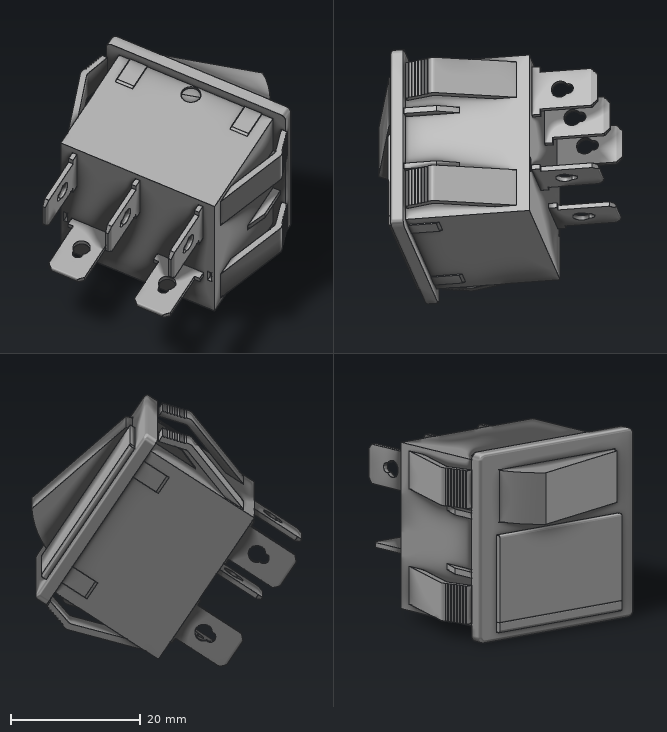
import cadquery as cq
import math


bezel_width = 31.35
bezel_height = 30.0
bezel_thickness = 2.08
bezel_corner_radius = 1.02
bezel_front_radius = 0.5
block_width = 26.9
block_height = 26.35
block_depth = 19.45

clip_elbow_x = 17.55
clip_elbow_y = -5.0
clip_elbow_radius = 1.2
clip_tip_x = 16.27
clip_tip_y = -0.53
clip_thickness_x = 1.1
clip_root_y = -17.45
clip_inner_root_y = -14.05
clip_width = 6.0
clip_center_z = 9.15
tooth_count = 7
tooth_pitch = 0.53
tooth_depth = 0.2
tooth_valley_share = 0.65

rib_reach = 14.73
rib_thickness = 0.95
rib_center_z = 4.7
rib_straight_length = 5.1
rib_length = 8.5

pad_width = 3.02
pad_center_x = 10.0
pad_height = 0.2
pad_length = 4.9
pad_ramp_length = 0.45

slot_width = 0.68
slot_height = 2.15
slot_depth = 0.95
slot_center_x = 12.57
slot_center_z = -5.0

pivot_y = -1.7
rocker_tilt = 15.0
rocker_radius = 12.27
rocker_face_height = 7.48
rocker_width = 8.15
rocker_center_z = 7.93
rocker_gap = 0.1
pin_diameter = 3.0
pin_hole_diameter = 3.05
pin_hole_length = 2 * (block_height / 2 - rocker_center_z)
pin_recess = 0.35
pin_ramp_drop = 0.53

lens_width = 24.85
lens_front_y = 2.95
lens_top_z = 1.9
lens_bottom_z = -11.9
lens_top_radius = 0.38
lens_bottom_radius = 0.15
ledge_bottom_z = -13.5
ledge_top_radius = 0.15
ledge_bottom_radius = 0.38

terminal_tip_y = -29.7
terminal_thickness = 0.8
blade_width = 6.25
shoulder_width = 8.08
shoulder_length = 1.3
blade_corner = 0.9
upright_tip_bevel = 0.17
keyhole_y = -23.85
keyhole_diameter = 2.65
keyhole_notch_y = -25.15
keyhole_notch_diameter = 1.6
upright_terminal_spacing = 11.0
flat_terminal_x = 7.48
flat_terminal_z = -5.02


def box(x_range, y_range, z_range):
    """Block between the given limits on each axis."""
    corner = cq.Vector(x_range[0], y_range[0], z_range[0])
    return cq.Workplane(obj=cq.Solid.makeBox(
        x_range[1] - x_range[0],
        y_range[1] - y_range[0],
        z_range[1] - z_range[0],
        corner,
    ))


def slab(outline, z_center, thickness):
    """Prism of an XY outline, centred on z_center."""
    plane = cq.Workplane("XY", origin=(0, 0, z_center))
    return plane.polyline(outline).close().extrude(thickness / 2, both=True)


def disc(diameter, z_center, thickness):
    """Cylinder along Z on the rocker pivot."""
    plane = cq.Workplane("XY", origin=(0, pivot_y, z_center))
    return plane.circle(diameter / 2).extrude(thickness / 2, both=True)


def mirrored_in_x(shape):
    return shape.union(shape.mirror("YZ"))


def bezel():
    plate = box(
        (-bezel_width / 2, bezel_width / 2),
        (0, bezel_thickness),
        (-bezel_height / 2, bezel_height / 2),
    )
    return plate.edges("|Y").fillet(bezel_corner_radius).faces(">Y").edges().fillet(bezel_front_radius)


def clip(z_center):
    """Bent spring arm on the +X side with a row of grip teeth near its free end."""
    flank_slope = (clip_elbow_x - clip_tip_x) / (clip_tip_y - clip_elbow_y)

    def flank_point(distance, depth=0.0):
        """Point a distance rearward of the free end, sunk below the flank by depth."""
        return (clip_tip_x + distance * flank_slope - depth, clip_tip_y - distance)

    teeth = []
    for tooth in range(tooth_count):
        teeth.append(flank_point(tooth * tooth_pitch))
        teeth.append(flank_point((tooth + tooth_valley_share) * tooth_pitch, tooth_depth))
    teeth.append(flank_point(tooth_count * tooth_pitch))

    inner_elbow_x = clip_elbow_x - clip_thickness_x
    outline = [
        (block_width / 2, clip_inner_root_y),
        (inner_elbow_x, clip_elbow_y),
        (clip_tip_x - clip_thickness_x, clip_tip_y),
        *teeth,
        (clip_elbow_x, clip_elbow_y),
        (block_width / 2, clip_root_y),
    ]
    arm = slab(outline, z_center, clip_width)
    for elbow_x in (inner_elbow_x, clip_elbow_x):
        elbow = cq.selectors.NearestToPointSelector((elbow_x, clip_elbow_y, z_center))
        arm = arm.edges(elbow).fillet(clip_elbow_radius)
    return arm


def rib(z_center):
    """Panel stop rib on the +X side, tapering to the block at its rear end."""
    outline = [
        (block_width / 2, 0),
        (rib_reach, 0),
        (rib_reach, -rib_straight_length),
        (block_width / 2, -rib_length),
    ]
    return slab(outline, z_center, rib_thickness)


def pad(x_center):
    """Raised pad on the block's top face with a ramp at its rear end."""
    base_z = block_height / 2
    outline = [
        (0, base_z),
        (0, base_z + pad_height),
        (pad_ramp_length - pad_length, base_z + pad_height),
        (-pad_length, base_z),
    ]
    plane = cq.Workplane("YZ", origin=(x_center, 0, 0))
    return plane.polyline(outline).close().extrude(pad_width / 2, both=True)


def ledge():
    """Raised strip on the bezel below the lens."""
    strip = box(
        (-lens_width / 2, lens_width / 2),
        (bezel_thickness, lens_front_y),
        (ledge_bottom_z, lens_bottom_z),
    )
    strip = strip.edges(">Y and <Z").fillet(ledge_bottom_radius)
    return strip.edges(">Y and >Z").fillet(ledge_top_radius)


def rocker_pocket():
    """Round-bottomed opening for the rocker, plus the holes for its pivot pin."""
    pocket_height = rocker_width + 2 * rocker_gap
    opening = disc(2 * (rocker_radius + rocker_gap), rocker_center_z, pocket_height)
    pin_hole = disc(pin_hole_diameter, rocker_center_z, pin_hole_length)
    return opening.union(pin_hole)


def make_housing():
    body = box(
        (-block_width / 2, block_width / 2),
        (-block_depth, 0),
        (-block_height / 2, block_height / 2),
    )
    body = body.union(bezel()).union(ledge())

    for side in (-1, 1):
        body = body.union(mirrored_in_x(clip(side * clip_center_z)))
        body = body.union(mirrored_in_x(rib(side * rib_center_z)))
        top_pad = pad(side * pad_center_x)
        body = body.union(top_pad).union(top_pad.mirror("XY"))

    for side in (-1, 1):
        slot_x = side * slot_center_x
        body = body.cut(box(
            (slot_x - slot_width / 2, slot_x + slot_width / 2),
            (-block_depth, slot_depth - block_depth),
            (slot_center_z - slot_height / 2, slot_center_z + slot_height / 2),
        ))
    return body.cut(rocker_pocket())


def pivot_pin():
    """Pin through the rocker; the rear half of each end slopes away from the end face."""
    pin_length = pin_hole_length - 2 * pin_recess
    pin = disc(pin_diameter, rocker_center_z, pin_length)
    radius = pin_diameter / 2
    wedge_outline = [(0, pin_length / 2), (radius, pin_length / 2), (radius, pin_length / 2 - pin_ramp_drop)]
    plane = cq.Plane(origin=(0, pivot_y, rocker_center_z), xDir=(0, -1, 0), normal=(-1, 0, 0))
    wedge = cq.Workplane(plane).polyline(wedge_outline).close().extrude(radius, both=True)
    return pin.cut(wedge).cut(wedge.mirror("XY", (0, 0, rocker_center_z)))


def make_rocker():
    half_face = math.sqrt(rocker_radius**2 - rocker_face_height**2)
    plane = cq.Workplane("XY", origin=(0, pivot_y, rocker_center_z))
    mid_angle = math.asin(rocker_face_height / rocker_radius) / 2
    arc_mid = (rocker_radius * math.cos(mid_angle), rocker_radius * math.sin(mid_angle))
    segment = (
        plane.moveTo(-rocker_radius, 0)
        .lineTo(rocker_radius, 0)
        .threePointArc(arc_mid, (half_face, rocker_face_height))
        .lineTo(-half_face, rocker_face_height)
        .threePointArc((-arc_mid[0], arc_mid[1]), (-rocker_radius, 0))
        .close()
        .extrude(rocker_width / 2, both=True)
    )
    return segment.union(pivot_pin()).rotate((0, pivot_y, 0), (0, pivot_y, 1), rocker_tilt)


def make_lens():
    lens = box(
        (-lens_width / 2, lens_width / 2),
        (bezel_thickness, lens_front_y),
        (lens_bottom_z, lens_top_z),
    )
    lens = lens.edges(">Y and >Z").fillet(lens_top_radius)
    return lens.edges(">Y and <Z").fillet(lens_bottom_radius)


def make_terminal():
    """Blade lying in the XY plane, centred on the Y axis, with its shoulders against the block."""
    right_side = [
        (shoulder_width / 2, -block_depth),
        (shoulder_width / 2, -block_depth - shoulder_length),
        (blade_width / 2, -block_depth - shoulder_length),
        (blade_width / 2, terminal_tip_y + blade_corner),
        (blade_width / 2 - blade_corner, terminal_tip_y),
    ]
    left_side = [(-x, y) for x, y in reversed(right_side)]
    blade = slab(right_side + left_side, 0, terminal_thickness)
    for hole_y, diameter in ((keyhole_y, keyhole_diameter), (keyhole_notch_y, keyhole_notch_diameter)):
        hole = cq.Workplane("XY").center(0, hole_y).circle(diameter / 2)
        blade = blade.cut(hole.extrude(terminal_thickness, both=True))
    return blade


def make_flat_terminal():
    """Terminal with its tip fully rounded across the thickness."""
    tip_radius = terminal_thickness / 2
    rounded_profile = (
        cq.Workplane("YZ")
        .moveTo(-block_depth, tip_radius)
        .lineTo(terminal_tip_y + tip_radius, tip_radius)
        .threePointArc((terminal_tip_y, 0), (terminal_tip_y + tip_radius, -tip_radius))
        .lineTo(-block_depth, -tip_radius)
        .close()
        .extrude(shoulder_width / 2, both=True)
    )
    return make_terminal().intersect(rounded_profile)


def make_upright_terminal():
    """Terminal turned on edge, with its tip bevelled on both wide faces."""
    face_z = terminal_thickness / 2
    bevel_outline = [
        (terminal_tip_y, face_z),
        (terminal_tip_y + blade_corner, face_z),
        (terminal_tip_y, face_z - upright_tip_bevel),
    ]
    bevel = cq.Workplane("YZ").polyline(bevel_outline).close().extrude(blade_width / 2, both=True)
    blade = make_terminal().cut(bevel).cut(bevel.mirror("XY"))
    return blade.rotate((0, 0, 0), (0, 1, 0), 90)


def place_terminals():
    """Three upright blades level with the rocker and two flat ones below them."""
    placed = []
    for column in (-1, 0, 1):
        upright_x = column * upright_terminal_spacing
        placed.append(make_upright_terminal().translate((upright_x, 0, rocker_center_z)))
    for side in (-1, 1):
        placed.append(make_flat_terminal().translate((side * flat_terminal_x, 0, flat_terminal_z)))
    return placed


housing = make_housing()
rocker = make_rocker()
lens = make_lens()
terminals = place_terminals()

result = cq.Compound.makeCompound([
    housing.val(),
    rocker.val(),
    lens.val(),
    *[terminal.val() for terminal in terminals],
])